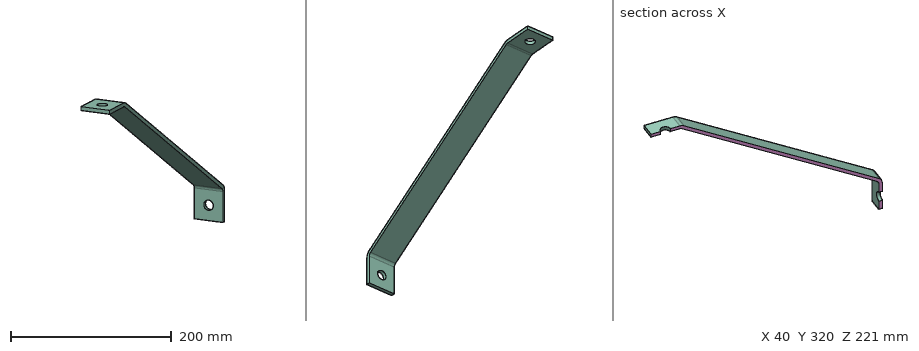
import cadquery as cq
import math

WIDTH = 40.0
LENGTH = 320.0
HEIGHT = 221.0

THICKNESS = 5.0
INNER_RADIUS = 5.0
OUTER_RADIUS = INNER_RADIUS + THICKNESS
FLAT_LENGTH = WIDTH
HOLE_DIAMETER = 13.0
HOLE_TO_END = FLAT_LENGTH / 2

LOWER_CENTRE = (LENGTH - OUTER_RADIUS, FLAT_LENGTH)
UPPER_CENTRE = (FLAT_LENGTH, HEIGHT - OUTER_RADIUS)
SLOPE = math.atan2(UPPER_CENTRE[1] - LOWER_CENTRE[1], LOWER_CENTRE[0] - UPPER_CENTRE[0])

LOWER_TAB_NORMAL = 0.0
ARM_NORMAL = math.pi / 2 - SLOPE
UPPER_TAB_NORMAL = math.pi / 2


def on_bend(centre, radius, angle):
    """Point on a bend arc in the YZ plane."""
    return (centre[0] + radius * math.cos(angle), centre[1] + radius * math.sin(angle))


def add_bend(path, centre, radius, start, end):
    """Continue the outline straight to a bend and then around it."""
    middle = (start + end) / 2
    return path.lineTo(*on_bend(centre, radius, start)).threePointArc(
        on_bend(centre, radius, middle), on_bend(centre, radius, end)
    )


def make_strap():
    """Strap of constant thickness with a vertical and a horizontal tab."""
    path = cq.Workplane("YZ").moveTo(LENGTH, 0)
    path = add_bend(path, LOWER_CENTRE, OUTER_RADIUS, LOWER_TAB_NORMAL, ARM_NORMAL)
    path = add_bend(path, UPPER_CENTRE, OUTER_RADIUS, ARM_NORMAL, UPPER_TAB_NORMAL)
    path = path.lineTo(0, HEIGHT).lineTo(0, HEIGHT - THICKNESS)
    path = add_bend(path, UPPER_CENTRE, INNER_RADIUS, UPPER_TAB_NORMAL, ARM_NORMAL)
    path = add_bend(path, LOWER_CENTRE, INNER_RADIUS, ARM_NORMAL, LOWER_TAB_NORMAL)
    path = path.lineTo(LENGTH - THICKNESS, 0)
    return path.close().extrude(WIDTH / 2, both=True)


def make_hole(start, direction):
    """Cylinder that pierces one tab."""
    return cq.Workplane(
        cq.Solid.makeCylinder(HOLE_DIAMETER / 2, THICKNESS, cq.Vector(*start), cq.Vector(*direction))
    )


lower_hole = make_hole((0, LENGTH - THICKNESS, HOLE_TO_END), (0, 1, 0))
upper_hole = make_hole((0, HOLE_TO_END, HEIGHT - THICKNESS), (0, 0, 1))

result = make_strap().cut(lower_hole).cut(upper_hole)